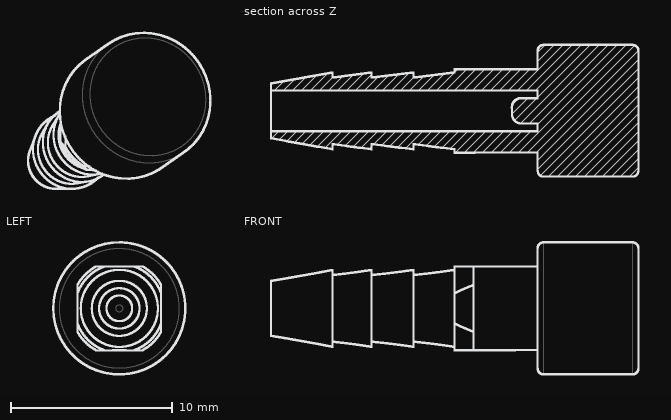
import cadquery as cq

total_length = 22.8
tip_diameter = 3.42
crest_diameter = 4.79
root_diameter = 4.15
barb_crests = [3.83, 6.25, 8.85, 11.38]

collar_start = barb_crests[-1]
collar_end = 12.56
collar_front_diameter = 5.52
collar_back_diameter = 5.95
stem_diameter = 5.2
across_flats = stem_diameter

head_start = 16.53
head_diameter = 8.2
head_fillet = 0.39

bore_diameter = 2.5
bore_depth = head_start
pin_diameter = 1.6
pin_length = 1.6
pin_nose_diameter = 0.43


def cylinder(start, end, diameter):
    """Solid cylinder on the X axis."""
    return cq.Workplane("YZ", origin=(start, 0, 0)).circle(diameter / 2).extrude(end - start)


def cone(start, end, start_diameter, end_diameter):
    """Solid truncated cone on the X axis."""
    outline = [
        (start, 0),
        (start, start_diameter / 2),
        (end, end_diameter / 2),
        (end, 0),
    ]
    return cq.Workplane("XY").polyline(outline).close().revolve(360, (0, 0, 0), (1, 0, 0))


def make_barbs():
    """Tapered tip followed by the shallower barbs."""
    barbs = cone(0, barb_crests[0], tip_diameter, crest_diameter)
    for start, end in zip(barb_crests, barb_crests[1:]):
        barbs = barbs.union(cone(start, end, root_diameter, crest_diameter))
    return barbs


def make_collar():
    """Conical collar trimmed to a square."""
    collar = cone(collar_start, collar_end, collar_front_diameter, collar_back_diameter)
    square = (
        cq.Workplane("YZ", origin=(collar_start, 0, 0))
        .rect(across_flats, across_flats)
        .extrude(collar_end - collar_start)
    )
    return collar.intersect(square)


def make_head():
    """Cylindrical head with both rims rounded."""
    return cylinder(head_start, total_length, head_diameter).edges().fillet(head_fillet)


def make_pin():
    """Pin rounded down to a small flat nose."""
    nose_radius = (pin_diameter - pin_nose_diameter) / 2
    pin = cylinder(bore_depth - pin_length, bore_depth, pin_diameter)
    return pin.faces("<X").edges().fillet(nose_radius)


stem = cylinder(collar_end, head_start, stem_diameter)
body = make_barbs().union(make_collar()).union(stem).union(make_head())
result = body.cut(cylinder(0, bore_depth, bore_diameter)).union(make_pin())